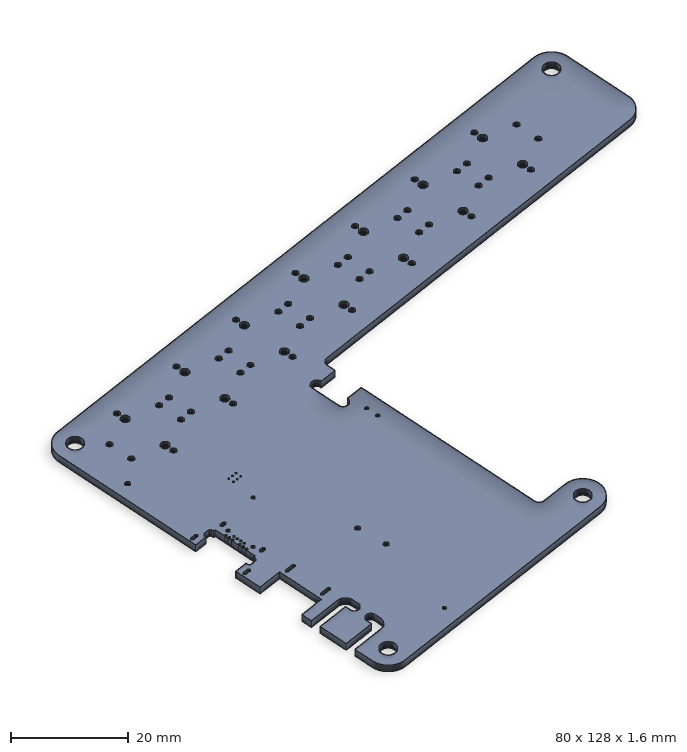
import cadquery as cq

thickness = 1.6
board_width = 80.0
board_height = 128.0
strip_width = 22.0
main_height = 46.5
corner_radius = 4.0
inner_radius = 1.2

mount_diameter = 3.2
mount_inset = corner_radius
ear_center_x = board_width - corner_radius
ear_center_y = 53.0

key_count = 7
key_pitch = 15.0
key_center_x = strip_width / 2
first_key_y = 14.0
peg_offset = 4.6
peg_diameter = 1.7
side_pin_offset = 6.5
pin_diameter = 1.2
leg_offset_x = 2.5
leg_offset_y = 6.25

top_notch_center_x = 28.0
top_notch_neck_width = 6.0
top_notch_foot_width = 8.2
top_notch_floor_y = 40.8
top_notch_foot_height = 2.2
top_notch_foot_radius = 1.0

port_center_x = 40.0
port_width = 9.2
port_depth = 4.9
port_wing_width = 10.8
port_wing_bottom_y = 2.6
port_wing_top_y = 4.5
port_wing_radius = 0.5
port_front_slot_offset = 6.05
port_front_slot_y = 1.2
port_front_slot_length = 1.6
port_shell_offset = 4.5
port_shell_y = 6.8
port_shell_width = 0.7
port_shell_length = 1.2
port_peg_offset = 2.85
port_peg_y = 6.25
contact_diameter = 0.4
contact_pitch = 0.8
back_contact_offsets = [0.5 * contact_pitch, 1.5 * contact_pitch]
back_contact_y = 5.9
front_contact_offsets = [contact_pitch, 2 * contact_pitch, 3 * contact_pitch]
front_contact_y = 5.2

socket_center_x = 55.0
socket_width = 9.6
socket_depth = 4.9
socket_slot_offset = 4.05
socket_slot_y = 6.8
socket_slot_length = 2.2
narrow_slot_width = 0.6

tongue_center_x = 67.0
tongue_width = 6.0
tongue_slot_width = 2.0
tongue_slot_top_y = 8.4
tongue_hook_height = 2.0
tongue_hook_gap = 1.8
tongue_slot_radius = 1.8

small_hole_diameter = 0.7
small_hole_points = [(35.0, 14.9), (76.6, 17.5), (35.0, 43.5), (37.54, 43.5)]
test_hole_diameter = 1.0
test_hole_points = [(17.05, 2.95), (53.0, 21.5), (59.1, 22.0)]

via_diameter = 0.3
via_center = (29.5, 16.3)
via_pitch_x = 1.1
via_pitch_y = 0.9
via_columns = 2
via_rows = 3


def block(left, right, bottom, top):
    """Full-thickness rectangular block between the given X and Y limits."""
    return cq.Workplane("XY").box(right - left, top - bottom, thickness, centered=False).translate(
        (left, bottom, 0)
    )


def round_corner(body, x, y, radius):
    """Round the upright edge of the body that stands at (x, y)."""
    edge_middle = (x, y, thickness / 2)
    return body.edges(cq.selectors.NearestToPointSelector(edge_middle)).fillet(radius)


def drills(points, diameter):
    """Round through-hole cutters at the given points."""
    return cq.Workplane("XY").pushPoints(points).circle(diameter / 2).extrude(thickness)


def upright_slots(points, length, width):
    """Round-ended slot cutters running along Y."""
    return cq.Workplane("XY").pushPoints(points).slot2D(length, width, 90).extrude(thickness)


def mirrored_pair(center_x, offset, y):
    """Two points at height y, equally far left and right of center_x."""
    return [(center_x - offset, y), (center_x + offset, y)]


def board_outline():
    strip = block(0, strip_width, 0, board_height)
    main = block(0, board_width, 0, main_height)
    ear_left = board_width - 2 * corner_radius
    ear = block(ear_left, board_width, 0, ear_center_y)
    board = strip.union(main).union(ear).clean()
    for x, y in [(0, 0), (board_width, 0), (0, board_height), (strip_width, board_height)]:
        board = round_corner(board, x, y, corner_radius)
    for x in (strip_width, ear_left):
        board = round_corner(board, x, main_height, inner_radius)
    ear_end = drills([(ear_center_x, ear_center_y)], 2 * corner_radius)
    return board.union(ear_end).clean()


def mount_holes():
    points = [
        (mount_inset, mount_inset),
        (board_width - mount_inset, mount_inset),
        (mount_inset, board_height - mount_inset),
        (ear_center_x, ear_center_y),
    ]
    return drills(points, mount_diameter)


def key_holes(key_y):
    pegs = drills(mirrored_pair(key_center_x, peg_offset, key_y), peg_diameter)
    pin_points = mirrored_pair(key_center_x, side_pin_offset, key_y)
    for leg_y in (key_y - leg_offset_y, key_y + leg_offset_y):
        pin_points += mirrored_pair(key_center_x, leg_offset_x, leg_y)
    return pegs.union(drills(pin_points, pin_diameter))


def top_notch():
    half_neck = top_notch_neck_width / 2
    half_foot = top_notch_foot_width / 2
    foot_top_y = top_notch_floor_y + top_notch_foot_height
    neck = block(
        top_notch_center_x - half_neck, top_notch_center_x + half_neck, top_notch_floor_y, main_height
    )
    foot = block(
        top_notch_center_x - half_foot, top_notch_center_x + half_foot, top_notch_floor_y, foot_top_y
    )
    return neck.union(foot.edges("|Z").fillet(top_notch_foot_radius))


def port_cutout():
    half_width = port_width / 2
    half_wing = port_wing_width / 2
    mouth = block(port_center_x - half_width, port_center_x + half_width, 0, port_depth)
    wings = block(
        port_center_x - half_wing, port_center_x + half_wing, port_wing_bottom_y, port_wing_top_y
    )
    return mouth.union(wings.edges("|Z").fillet(port_wing_radius))


def port_holes():
    front_slots = upright_slots(
        mirrored_pair(port_center_x, port_front_slot_offset, port_front_slot_y),
        port_front_slot_length,
        narrow_slot_width,
    )
    shell_slots = upright_slots(
        mirrored_pair(port_center_x, port_shell_offset, port_shell_y),
        port_shell_length,
        port_shell_width,
    )
    pegs = drills(mirrored_pair(port_center_x, port_peg_offset, port_peg_y), small_hole_diameter)
    contact_points = []
    for offset in back_contact_offsets:
        contact_points += mirrored_pair(port_center_x, offset, back_contact_y)
    for offset in front_contact_offsets:
        contact_points += mirrored_pair(port_center_x, offset, front_contact_y)
    contacts = drills(contact_points, contact_diameter)
    return front_slots.union(shell_slots).union(pegs).union(contacts)


def socket_cutout():
    half_width = socket_width / 2
    mouth = block(socket_center_x - half_width, socket_center_x + half_width, 0, socket_depth)
    anchors = upright_slots(
        mirrored_pair(socket_center_x, socket_slot_offset, socket_slot_y),
        socket_slot_length,
        narrow_slot_width,
    )
    return mouth.union(anchors)


def tongue_slots():
    slot_right = tongue_center_x - tongue_width / 2
    slot_left = slot_right - tongue_slot_width
    hook_end = tongue_center_x - tongue_hook_gap / 2
    hook_bottom = tongue_slot_top_y - tongue_hook_height
    hook_radius = tongue_hook_height / 2
    leg = block(slot_left, slot_right, 0, tongue_slot_top_y)
    hook = block(slot_left, hook_end - hook_radius, hook_bottom, tongue_slot_top_y)
    hook_tip = drills([(hook_end - hook_radius, tongue_slot_top_y - hook_radius)], tongue_hook_height)
    left_slot = round_corner(leg.union(hook).clean(), slot_left, tongue_slot_top_y, tongue_slot_radius)
    left_slot = left_slot.union(hook_tip)
    right_slot = left_slot.mirror("YZ", (tongue_center_x, 0, 0))
    return left_slot.union(right_slot)


def vias():
    return (
        cq.Workplane("XY")
        .center(*via_center)
        .rarray(via_pitch_x, via_pitch_y, via_columns, via_rows)
        .circle(via_diameter / 2)
        .extrude(thickness)
    )


result = board_outline().cut(mount_holes())
for key in range(key_count):
    result = result.cut(key_holes(first_key_y + key * key_pitch))
result = result.cut(top_notch())
result = result.cut(port_cutout()).cut(port_holes())
result = result.cut(socket_cutout())
result = result.cut(tongue_slots())
result = result.cut(drills(small_hole_points, small_hole_diameter))
result = result.cut(drills(test_hole_points, test_hole_diameter))
result = result.cut(vias())